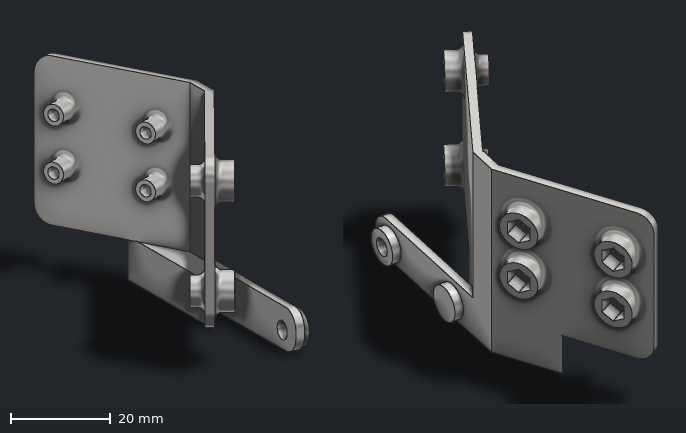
import cadquery as cq
import math

PLATE_HEIGHT = 36.0
PLATE_THICKNESS = 2.0
BEND_ANGLE = 30.0
STRIP_FRONT_WIDTH = 5.8
LEFT_WING_FRONT_LENGTH = 36.0
RIGHT_WING_FRONT_LENGTH = 43.5
CORNER_RADIUS = 4.0

BASE_HEIGHT = 9.3
BLOCK_DEPTH = 8.0
TAB_END_MARGIN = 5.45
TAB_BOSS_X = (10.95, 33.95)
TAB_BOSS_DIAMETER = 8.0
TAB_BOSS_LENGTH = 2.0
TAB_BOSS_HEIGHT = 4.0
TAB_HOLE_DIAMETER = 4.0

HEAD_DIAMETER = 8.6
BOSS_FILLET = 1.5
SCREW_HOLE_DIAMETER = 2.6
LEFT_STATIONS = (7.9, 29.15)
LEFT_BOSS_HEIGHTS = (13.2, 25.5)
LEFT_HEAD_LENGTH = 3.5
LEFT_PIN_DIAMETER = 4.6
LEFT_PIN_LENGTH = 5.0
NUT_SIDES = 6
NUT_ACROSS_FLATS = 5.0
NUT_POCKET_DEPTH = 3.5
RIGHT_STATION = 36.62
RIGHT_BOSS_SPACING = 23.4
RIGHT_HEAD_LENGTH = 4.0
RIGHT_PIN_DIAMETER = 6.5
RIGHT_PIN_LENGTH = 3.0

COS_BEND = math.cos(math.radians(BEND_ANGLE))
SIN_BEND = math.sin(math.radians(BEND_ANGLE))
MITRE_OFFSET = PLATE_THICKNESS * math.tan(math.radians(BEND_ANGLE / 2))
STRIP_FRONT_HALF = STRIP_FRONT_WIDTH / 2
STRIP_BACK_HALF = STRIP_FRONT_HALF + MITRE_OFFSET
LEFT = -1
RIGHT = 1


def back_normal(side):
    """Unit vector pointing out of the back face of a wing."""
    return cq.Vector(side * SIN_BEND, COS_BEND, 0)


def back_point(side, station):
    """(X, Y) of a point on the back face of a wing."""
    return (side * (STRIP_BACK_HALF + station * COS_BEND), -station * SIN_BEND)


def front_point(side, distance):
    """(X, Y) of a point on the front face of a wing, measured from the front bend line."""
    return (side * (STRIP_FRONT_HALF + distance * COS_BEND), -PLATE_THICKNESS - distance * SIN_BEND)


def make_plate():
    outline = [
        front_point(LEFT, 0),
        front_point(LEFT, LEFT_WING_FRONT_LENGTH),
        back_point(LEFT, LEFT_WING_FRONT_LENGTH + MITRE_OFFSET),
        back_point(LEFT, 0),
        back_point(RIGHT, 0),
        back_point(RIGHT, RIGHT_WING_FRONT_LENGTH + MITRE_OFFSET),
        front_point(RIGHT, RIGHT_WING_FRONT_LENGTH),
        front_point(RIGHT, 0),
    ]
    plate = cq.Workplane("XY").polyline(outline).close().extrude(PLATE_HEIGHT)
    for side in (LEFT, RIGHT):
        wing_end_edges = cq.ParallelDirSelector(back_normal(side))
        plate = plate.edges(wing_end_edges).fillet(CORNER_RADIUS)
    return plate


def make_block():
    """Trapezoid whose slanted sides lie flush with the back faces of the wings."""
    slant_length = BLOCK_DEPTH / SIN_BEND
    outline = [
        back_point(LEFT, 0),
        back_point(LEFT, slant_length),
        back_point(RIGHT, slant_length),
        back_point(RIGHT, 0),
    ]
    return cq.Workplane("XY").polyline(outline).close().extrude(-BASE_HEIGHT)


def make_tab():
    """Flat tab in line with the middle strip, with its free end rounded."""
    length = TAB_BOSS_X[-1] + TAB_END_MARGIN
    tab = cq.Workplane("XY").box(length, PLATE_THICKNESS, BASE_HEIGHT, centered=False)
    tab = tab.translate((0, -PLATE_THICKNESS, -BASE_HEIGHT))
    return tab.edges("|Y and >X").fillet(CORNER_RADIUS)


def tab_cylinder(x, diameter, start_y, end_y):
    """Cylinder along Y on the axis of a tab boss."""
    center = cq.Vector(x, start_y, TAB_BOSS_HEIGHT - BASE_HEIGHT)
    cylinder = cq.Solid.makeCylinder(diameter / 2, end_y - start_y, center, cq.Vector(0, 1, 0))
    return cq.Workplane(cylinder)


def wing_plane(side, station, height):
    """Plane on the back face of a wing: local x along Z, normal pointing out of the back."""
    x, y = back_point(side, station)
    return cq.Plane(origin=(x, y, height), xDir=(0, 0, 1), normal=back_normal(side).toTuple())


def flared_boss(plane, diameter, base, length, direction):
    """Round boss with a concave fillet, rising along the plane normal (direction 1) or against it (-1)."""
    radius = diameter / 2
    arc_middle = BOSS_FILLET * (1 - math.sqrt(0.5))
    profile_plane = cq.Plane(origin=plane.origin, xDir=plane.xDir, normal=plane.yDir.multiply(-1))
    return (
        cq.Workplane(profile_plane)
        .moveTo(0, -PLATE_THICKNESS / 2)
        .lineTo(radius + BOSS_FILLET, -PLATE_THICKNESS / 2)
        .lineTo(radius + BOSS_FILLET, base)
        .threePointArc(
            (radius + arc_middle, base + direction * arc_middle),
            (radius, base + direction * BOSS_FILLET),
        )
        .lineTo(radius, base + direction * length)
        .lineTo(0, base + direction * length)
        .close()
        .revolve(360, (0, 0, 0), (0, 1, 0))
    )


def add_screw_boss(body, plane, head_length, pin_diameter, pin_length):
    """Head on the back, pin on the front and a screw hole through both."""
    body = body.union(flared_boss(plane, HEAD_DIAMETER, 0, head_length, 1))
    body = body.union(flared_boss(plane, pin_diameter, -PLATE_THICKNESS, pin_length, -1))
    hole_length = head_length + PLATE_THICKNESS + pin_length
    hole = (
        cq.Workplane(plane)
        .workplane(offset=head_length)
        .circle(SCREW_HOLE_DIAMETER / 2)
        .extrude(-hole_length)
    )
    return body.cut(hole)


def nut_pocket(plane):
    """Hexagonal pocket sunk into a left head, with two corners pointing along Z."""
    across_corners = NUT_ACROSS_FLATS / math.cos(math.pi / NUT_SIDES)
    return (
        cq.Workplane(plane)
        .workplane(offset=LEFT_HEAD_LENGTH)
        .polygon(NUT_SIDES, across_corners)
        .extrude(-NUT_POCKET_DEPTH)
    )


result = make_plate().union(make_block()).union(make_tab())

for boss_x in TAB_BOSS_X:
    result = result.union(tab_cylinder(boss_x, TAB_BOSS_DIAMETER, -PLATE_THICKNESS, TAB_BOSS_LENGTH))
result = result.cut(tab_cylinder(TAB_BOSS_X[-1], TAB_HOLE_DIAMETER, -PLATE_THICKNESS, TAB_BOSS_LENGTH))

for station in LEFT_STATIONS:
    for height in LEFT_BOSS_HEIGHTS:
        left_plane = wing_plane(LEFT, station, height)
        result = add_screw_boss(result, left_plane, LEFT_HEAD_LENGTH, LEFT_PIN_DIAMETER, LEFT_PIN_LENGTH)
        result = result.cut(nut_pocket(left_plane))

for half in (-1, 1):
    right_height = PLATE_HEIGHT / 2 + half * RIGHT_BOSS_SPACING / 2
    right_plane = wing_plane(RIGHT, RIGHT_STATION, right_height)
    result = add_screw_boss(result, right_plane, RIGHT_HEAD_LENGTH, RIGHT_PIN_DIAMETER, RIGHT_PIN_LENGTH)